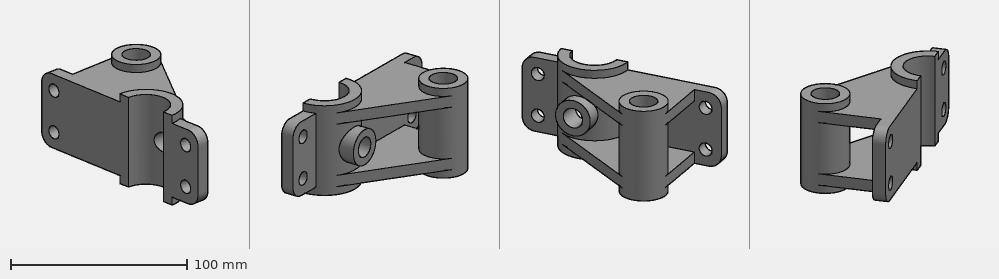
import cadquery as cq
import math

plate_length = 126.0
plate_height = 46.0
plate_thickness = 8.0
corner_radius = 8.0
mount_hole_diameter = 8.1
mount_hole_inset = 10.0
mount_hole_spacing = 26.0

bearing_height = 56.0
saddle_x = 84.0
saddle_radius = 21.0
saddle_bore_radius = 14.0
pivot_x = 31.0
pivot_y = 45.0
pivot_radius = 14.0
pivot_bore_radius = 8.1

web_thickness = 7.0

boss_radius = 11.0
boss_top_y = 28.0
boss_hole_radius = 6.0


def z_cylinder(x, y, radius):
    """Cylinder along Z over the full bearing height."""
    base = cq.Workplane("XY", origin=(x, y, -bearing_height / 2))
    return base.circle(radius).extrude(bearing_height)


def y_cylinder(x, z, radius, length):
    """Cylinder from Y = 0 toward +Y."""
    return cq.Workplane("XZ", origin=(x, 0, z)).circle(radius).extrude(-length)


def make_plate():
    plate = cq.Workplane("XY").box(
        plate_length, plate_thickness, plate_height, centered=(False, False, True)
    )
    plate = plate.edges("|Y").fillet(corner_radius)
    for x in (mount_hole_inset, plate_length - mount_hole_inset):
        for z in (-mount_hole_spacing / 2, mount_hole_spacing / 2):
            plate = plate.cut(y_cylinder(x, z, mount_hole_diameter / 2, plate_thickness))
    return plate


def make_half_saddle():
    """The half of the saddle cylinder on the +Y side of the mounting face."""
    keep = cq.Workplane("XY", origin=(saddle_x, 0, 0)).box(
        2 * saddle_radius, saddle_radius, bearing_height, centered=(True, False, True)
    )
    return z_cylinder(saddle_x, 0, saddle_radius).intersect(keep)


def make_web(bottom_z):
    """Web whose sloping edge is the common outer tangent of pivot and saddle."""
    center_distance = math.hypot(saddle_x - pivot_x, pivot_y)
    center_line_angle = math.atan2(-pivot_y, saddle_x - pivot_x)
    spread_angle = math.asin((saddle_radius - pivot_radius) / center_distance)
    normal_angle = center_line_angle + spread_angle + math.pi / 2
    normal_x = math.cos(normal_angle)
    normal_y = math.sin(normal_angle)
    pivot_tangent = (pivot_x + pivot_radius * normal_x, pivot_y + pivot_radius * normal_y)
    saddle_tangent = (saddle_x + saddle_radius * normal_x, saddle_radius * normal_y)
    left_x = pivot_x - pivot_radius
    return (
        cq.Workplane("XY", origin=(0, 0, bottom_z))
        .moveTo(left_x, 0)
        .lineTo(left_x, pivot_y)
        .threePointArc((pivot_x, pivot_y + pivot_radius), pivot_tangent)
        .lineTo(*saddle_tangent)
        .lineTo(saddle_x, 0)
        .close()
        .extrude(web_thickness)
    )


result = make_plate().union(make_half_saddle())
result = result.union(z_cylinder(pivot_x, pivot_y, pivot_radius))
for web_bottom in (-plate_height / 2, plate_height / 2 - web_thickness):
    result = result.union(make_web(web_bottom))
result = result.union(y_cylinder(saddle_x, 0, boss_radius, boss_top_y))

result = result.cut(z_cylinder(saddle_x, 0, saddle_bore_radius))
result = result.cut(z_cylinder(pivot_x, pivot_y, pivot_bore_radius))
result = result.cut(y_cylinder(saddle_x, 0, boss_hole_radius, boss_top_y))